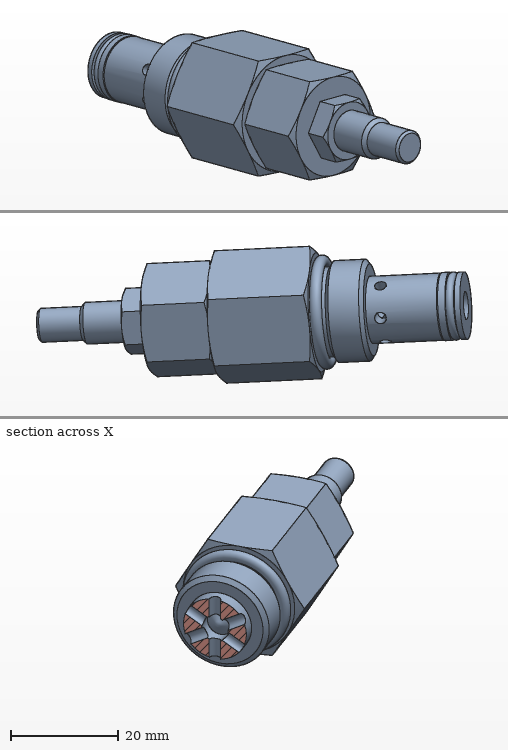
import cadquery as cq
import math


overall_length = 80.8
body_front_x = 17.85
body_hex_x = 27.9
cap_x = 47.0
lock_nut_x = 59.9
lock_nut_end_x = 64.3

sleeve_diameter = 12.6
sleeve_depth_in_body = 8.1
bore_diameter = 5.2
seat_x = 16.6
groove_start = 1.05
groove_end = 4.45
groove_diameter = 9.8
port_diameter = 2.2
port_x = 15.2
port_count = 6

small_seal_diameter = 12.8
backup_ring_width = 1.4
backup_ring_gap = 0.25
large_seal_section = 2.3

poppet_cone_length = 1.5

thread_diameter = 19.1
thread_chamfer_length = 0.7
thread_chamfer_depth = 1.0
neck_diameter = 16.8
neck_chamfer_start_x = 24.4
neck_start_x = 25.1
body_across_flats = 22.2

cap_across_flats = 19.0
lock_nut_across_flats = 11.0
lock_nut_turn = 1.5
hex_chamfer_length = 0.6
lock_nut_chamfer_length = 0.4

screw_diameter = 7.8
screw_end_x = 72.55
screw_chamfer = 0.7
stem_diameter = 6.4
stem_tip_diameter = 5.5
stem_chamfer_length = 0.5
screw_depth_in_cap = 8.1


def turned(profile):
    """Revolve a closed (x, radius) profile about the X axis."""
    return cq.Workplane("XY").polyline(profile).close().revolve(360, (0, 0, 0), (1, 0, 0))


def cylinder(start_x, end_x, diameter):
    """Cylinder along X."""
    start = cq.Workplane("YZ", origin=(start_x, 0, 0))
    return start.circle(diameter / 2).extrude(end_x - start_x)


def across_corners(across_flats):
    return across_flats / math.cos(math.radians(30))


def hexagon(start_x, end_x, across_flats):
    """Hexagonal bar along X with flats facing +Z and -Z."""
    start = cq.Workplane("YZ", origin=(start_x, 0, 0))
    return start.polygon(6, across_corners(across_flats)).extrude(end_x - start_x)


def corner_envelope(start_x, end_x, across_flats, start_length, end_length):
    """Turned blank whose end cones shrink from the hexagon corners to its flats."""
    corner_radius = across_corners(across_flats) / 2
    flat_radius = across_flats / 2
    return turned([
        (start_x, 0),
        (start_x, flat_radius),
        (start_x + start_length, corner_radius),
        (end_x - end_length, corner_radius),
        (end_x, flat_radius),
        (end_x, 0),
    ])


def chamfered_hexagon(start_x, end_x, across_flats, start_length, end_length):
    envelope = corner_envelope(start_x, end_x, across_flats, start_length, end_length)
    return hexagon(start_x, end_x, across_flats).intersect(envelope)


def o_ring(center_x, inner_diameter, section):
    """Torus around the X axis."""
    ring_radius = (inner_diameter + section) / 2
    circle = cq.Workplane("XY").center(center_x, ring_radius).circle(section / 2)
    return circle.revolve(360, (-center_x, -ring_radius, 0), (0.8 - center_x, -ring_radius, 0))


backup_ring_end = groove_end - backup_ring_gap
backup_ring_start = backup_ring_end - backup_ring_width

sleeve_end_x = body_front_x + sleeve_depth_in_body
screw_start_x = lock_nut_x - screw_depth_in_cap


def make_sleeve():
    """Tube with a seal groove near its nose and a ring of radial ports."""
    sleeve = cylinder(0, sleeve_end_x, sleeve_diameter)
    sleeve = sleeve.cut(cylinder(0, sleeve_end_x, bore_diameter))
    groove = cylinder(groove_start, groove_end, sleeve_diameter)
    groove = groove.cut(cylinder(groove_start, groove_end, groove_diameter))
    sleeve = sleeve.cut(groove)
    port = cq.Workplane("XY", origin=(port_x, 0, 0)).circle(port_diameter / 2).extrude(sleeve_diameter)
    for index in range(port_count):
        sleeve = sleeve.cut(port.rotate((0, 0, 0), (1, 0, 0), index * 360 / port_count))
    return sleeve


def make_small_o_ring():
    """O-ring on the groove floor, resting against the backup ring."""
    section = (small_seal_diameter - groove_diameter) / 2
    return o_ring(backup_ring_start - section / 2, groove_diameter, section)


def make_backup_ring():
    ring = cylinder(backup_ring_start, backup_ring_end, small_seal_diameter)
    return ring.cut(cylinder(backup_ring_start, backup_ring_end, groove_diameter))


def make_poppet():
    """Pin closing the bore behind the ports, with a conical tip facing the nose."""
    radius = bore_diameter / 2
    cone_base_x = seat_x + poppet_cone_length
    return turned([(seat_x, 0), (cone_base_x, radius), (sleeve_end_x, radius), (sleeve_end_x, 0)])


def make_body():
    """Threaded front, undercut neck and hexagon, with a blind socket for the sleeve."""
    thread_radius = thread_diameter / 2
    neck_radius = neck_diameter / 2
    front = turned([
        (body_front_x, 0),
        (body_front_x, thread_radius - thread_chamfer_depth),
        (body_front_x + thread_chamfer_length, thread_radius),
        (neck_chamfer_start_x, thread_radius),
        (neck_start_x, neck_radius),
        (body_hex_x, neck_radius),
        (body_hex_x, 0),
    ])
    hex_part = chamfered_hexagon(
        body_hex_x, cap_x, body_across_flats, hex_chamfer_length, hex_chamfer_length
    )
    body = front.union(hex_part)
    return body.cut(cylinder(body_front_x, sleeve_end_x, sleeve_diameter))


def make_large_o_ring():
    """O-ring on the neck, resting against the hexagon face."""
    return o_ring(body_hex_x - large_seal_section / 2, neck_diameter, large_seal_section)


def make_cap():
    """Hexagonal cap with a blind hole for the adjusting screw."""
    cap = chamfered_hexagon(cap_x, lock_nut_x, cap_across_flats, hex_chamfer_length, hex_chamfer_length)
    return cap.cut(cylinder(screw_start_x, lock_nut_x, screw_diameter))


def make_lock_nut():
    """Hexagonal nut, chamfered on its outer end and turned slightly about X."""
    nut = chamfered_hexagon(
        lock_nut_x, lock_nut_end_x, lock_nut_across_flats, 0, lock_nut_chamfer_length
    )
    nut = nut.cut(cylinder(lock_nut_x, lock_nut_end_x, screw_diameter))
    return nut.rotate((0, 0, 0), (1, 0, 0), lock_nut_turn)


def make_screw():
    """Adjusting screw with a thinner stem at its outer end."""
    screw_radius = screw_diameter / 2
    stem_radius = stem_diameter / 2
    return turned([
        (screw_start_x, 0),
        (screw_start_x, screw_radius),
        (screw_end_x - screw_chamfer, screw_radius),
        (screw_end_x, stem_radius),
        (overall_length - stem_chamfer_length, stem_radius),
        (overall_length, stem_tip_diameter / 2),
        (overall_length, 0),
    ])


sleeve = make_sleeve()
small_o_ring = make_small_o_ring()
backup_ring = make_backup_ring()
poppet = make_poppet()
body = make_body()
large_o_ring = make_large_o_ring()
cap = make_cap()
lock_nut = make_lock_nut()
screw = make_screw()

result = cq.Compound.makeCompound([
    sleeve.val(),
    small_o_ring.val(),
    backup_ring.val(),
    poppet.val(),
    body.val(),
    large_o_ring.val(),
    cap.val(),
    lock_nut.val(),
    screw.val(),
])